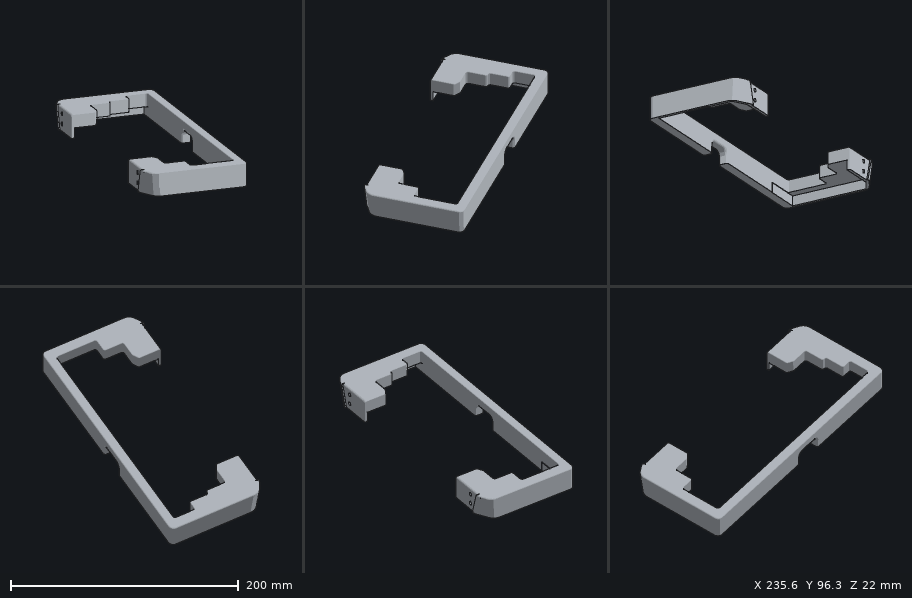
import cadquery as cq
import math

WIDTH = 235.55
DEPTH = 96.38
HEIGHT = 22.0

HALF_WIDTH = WIDTH / 2

BACK_WALL = 9.6
ARM_WIDTH = 11.4
FOOT_LENGTH = 48.0
FOOT_BACK_Y = 27.7
MIDDLE_STEP_Y = 47.0
LEFT_STEP_Y = 66.3
LEFT_STEP_INSET = 21.4
SHELF_INSET = 25.7
OPENING_CORNER_RADIUS = 2.0
FOOT_BEVEL_X = 6.0
FOOT_BEVEL_ANGLE = 30.0

BACK_CORNER_RADIUS = 5.0
TOP_EDGE_RADIUS = 1.5
OPENING_EDGE_RADIUS = 1.0

BEVEL_ANGLE = 30.0
BEVEL_LEAN = 15.0
BEVEL_TOP_X = 12.0
BEVEL_SIDE_RADIUS = 10.0
BEVEL_FRONT_RADIUS = 12.5

FACE_RECESS = 1.5
FACE_TOP_X = 13.8
FACE_TOP_RADIUS = 2.2

PIN_DIAMETER = 3.2
PIN_INSET = 24.5
PIN_HEIGHTS = (6.7, 16.2)
PIN_DEPTH = 10.0

NOTCH_WIDTH = 25.0
NOTCH_HEIGHT = 12.5
NOTCH_CENTRE_X = -9.8
NOTCH_CORNER_RADIUS = 5.0
NOTCH_EDGE_RADIUS = 2.5

HOLLOW_HEIGHT = 9.5
SIDE_WALL = 3.0
FRONT_WALL = 3.0
RELIEF_DEPTH = 0.4
RELIEF_WIDTH = 35.0

LEAN_SHIFT = HEIGHT * math.tan(math.radians(BEVEL_LEAN))
OVERCUT = 10.0
TOLERANCE = 0.1


def box(x0, x1, y0, y1, z0, z1):
    """Axis-aligned block between the given bounds."""
    return cq.Workplane("XY").box(x1 - x0, y1 - y0, z1 - z0, centered=False).translate((x0, y0, z0))


def within(x0, x1, y0, y1, z0, z1):
    """Selector for edges whose centres lie inside the given bounds."""
    return cq.selectors.BoxSelector((x0, y0, z0), (x1, y1, z1))


def mirrored(half):
    """The left-hand shape together with its copy on the right."""
    return half.union(half.mirror("YZ"))


def opening_points():
    """Corners of the stepped opening, from the left foot round the back to the right foot."""
    left = -HALF_WIDTH
    right = HALF_WIDTH
    back = DEPTH - BACK_WALL
    bevel_y = FOOT_BEVEL_X * math.tan(math.radians(FOOT_BEVEL_ANGLE))
    return [
        (left + FOOT_LENGTH, FOOT_BACK_Y - bevel_y),
        (left + FOOT_LENGTH - FOOT_BEVEL_X, FOOT_BACK_Y),
        (left + SHELF_INSET, FOOT_BACK_Y),
        (left + SHELF_INSET, MIDDLE_STEP_Y),
        (left + LEFT_STEP_INSET, MIDDLE_STEP_Y),
        (left + LEFT_STEP_INSET, LEFT_STEP_Y),
        (left + ARM_WIDTH, LEFT_STEP_Y),
        (left + ARM_WIDTH, back),
        (right - ARM_WIDTH, back),
        (right - ARM_WIDTH, MIDDLE_STEP_Y),
        (right - SHELF_INSET, MIDDLE_STEP_Y),
        (right - SHELF_INSET, FOOT_BACK_Y),
        (right - FOOT_LENGTH + FOOT_BEVEL_X, FOOT_BACK_Y),
        (right - FOOT_LENGTH, FOOT_BACK_Y - bevel_y),
    ]


def opening():
    """Solid of the frame opening, with its upright corners rounded."""
    half_gap = HALF_WIDTH - FOOT_LENGTH
    outline = [(-half_gap, -OVERCUT)] + opening_points() + [(half_gap, -OVERCUT)]
    block = cq.Workplane("XY").polyline(outline).close().extrude(HEIGHT)
    inside = within(-HALF_WIDTH, HALF_WIDTH, 0, DEPTH, 0, HEIGHT)
    return block.edges("|Z").edges(inside).fillet(OPENING_CORNER_RADIUS)


def front_bevel_cutter():
    """Wedge outside the leaning bevel of the left front corner."""
    run = HALF_WIDTH
    rise = run * math.tan(math.radians(BEVEL_ANGLE))
    triangle = [(run, -rise), (-run, rise), (-run, -rise)]
    return (
        cq.Workplane("XY", origin=(BEVEL_TOP_X + LEAN_SHIFT - HALF_WIDTH, 0, 0))
        .polyline(triangle)
        .close()
        .workplane(offset=HEIGHT)
        .center(-LEAN_SHIFT, 0)
        .polyline(triangle)
        .close()
        .loft(ruled=True)
    )


def face_cutter():
    """Leaning-ended cut that sets the front of the left foot back and rounds its top edge."""
    start = -HALF_WIDTH + FACE_TOP_X
    end = -HALF_WIDTH + FOOT_LENGTH + OVERCUT
    rounding_back = FACE_RECESS + FACE_TOP_RADIUS
    block = (
        cq.Workplane("XZ", origin=(0, rounding_back, 0))
        .polyline([(start + LEAN_SHIFT, 0), (end, 0), (end, HEIGHT), (start, HEIGHT)])
        .close()
        .extrude(rounding_back + OVERCUT)
    )
    kept = box(start - OVERCUT, end + OVERCUT, FACE_RECESS, rounding_back + OVERCUT, -OVERCUT, HEIGHT)
    return block.cut(kept.edges("|X and <Y and >Z").fillet(FACE_TOP_RADIUS))


def foot_hollow():
    """Space under the left arm and foot, with its front corner parallel to the bevel."""
    slope = math.tan(math.radians(BEVEL_ANGLE))
    front = FACE_RECESS + FRONT_WALL
    back = DEPTH - BACK_WALL
    end = FOOT_LENGTH + OVERCUT
    bevel_wall = SIDE_WALL / math.cos(math.radians(BEVEL_ANGLE))
    bevel_start_y = (BEVEL_TOP_X + LEAN_SHIFT) * slope + bevel_wall
    outline = [
        (SIDE_WALL, bevel_start_y - SIDE_WALL * slope),
        ((bevel_start_y - front) / slope, front),
        (end, front),
        (end, back),
        (SIDE_WALL, back),
    ]
    return (
        cq.Workplane("XY", origin=(-HALF_WIDTH, 0, 0))
        .polyline(outline)
        .close()
        .extrude(HOLLOW_HEIGHT)
    )


def back_wall_relief():
    """Shallow extension of the right hollow into the inner face of the back wall."""
    right = HALF_WIDTH - SIDE_WALL
    back = DEPTH - BACK_WALL
    return box(right - RELIEF_WIDTH, right, back - OVERCUT, back + RELIEF_DEPTH, 0, HOLLOW_HEIGHT)


def notch():
    """Round-topped cable notch, open at the underside."""
    cutter = box(
        NOTCH_CENTRE_X - NOTCH_WIDTH / 2, NOTCH_CENTRE_X + NOTCH_WIDTH / 2,
        DEPTH - BACK_WALL, DEPTH, -OVERCUT, NOTCH_HEIGHT,
    )
    return cutter.edges("|Y and >Z").fillet(NOTCH_CORNER_RADIUS)


def pin_holes():
    """Pair of pin holes in the front face of the left foot."""
    return (
        cq.Workplane("XZ", origin=(0, FACE_RECESS, 0))
        .pushPoints([(PIN_INSET - HALF_WIDTH, z) for z in PIN_HEIGHTS])
        .circle(PIN_DIAMETER / 2)
        .extrude(-PIN_DEPTH)
    )


def outer_block():
    """Block with rounded back corners, bevelled front corners and a rounded top edge."""
    body = box(-HALF_WIDTH, HALF_WIDTH, 0, DEPTH, 0, HEIGHT)
    body = body.edges("|Z and >Y").fillet(BACK_CORNER_RADIUS)
    body = body.cut(mirrored(front_bevel_cutter()))
    mid_low = HEIGHT / 2 - TOLERANCE
    mid_high = HEIGHT / 2 + TOLERANCE
    reach = HALF_WIDTH + TOLERANCE
    side_edges = within(-reach, reach, TOLERANCE, DEPTH / 2, mid_low, mid_high)
    front_edges = within(-reach, reach, -TOLERANCE, TOLERANCE, mid_low, mid_high)
    body = body.edges(side_edges).fillet(BEVEL_SIDE_RADIUS)
    body = body.edges(front_edges).fillet(BEVEL_FRONT_RADIUS)
    return body.faces(">Z").edges().fillet(TOP_EDGE_RADIUS)


def round_opening_rim(body):
    """Round the top of the opening; the rounding runs on down the front end of each foot."""
    reach = HALF_WIDTH - ARM_WIDTH + TOLERANCE
    rim = within(
        -reach, reach,
        FOOT_BACK_Y + TOLERANCE, DEPTH - BACK_WALL + TOLERANCE, HEIGHT - TOLERANCE, HEIGHT + TOLERANCE,
    )
    return body.edges(rim).fillet(OPENING_EDGE_RADIUS)


def cut_notch(body):
    """Cut the cable notch and round its mouth on both faces of the back wall."""
    body = body.cut(notch())
    reach = NOTCH_WIDTH / 2 + TOLERANCE
    for y in (DEPTH - BACK_WALL, DEPTH):
        rim = within(
            NOTCH_CENTRE_X - reach, NOTCH_CENTRE_X + reach,
            y - TOLERANCE, y + TOLERANCE, TOLERANCE, NOTCH_HEIGHT + TOLERANCE,
        )
        body = body.edges(rim).fillet(NOTCH_EDGE_RADIUS)
    return body


body = outer_block().cut(opening())
body = body.cut(mirrored(face_cutter()))
body = round_opening_rim(body)
body = cut_notch(body)
body = body.cut(mirrored(foot_hollow())).cut(back_wall_relief())
result = body.cut(mirrored(pin_holes()))